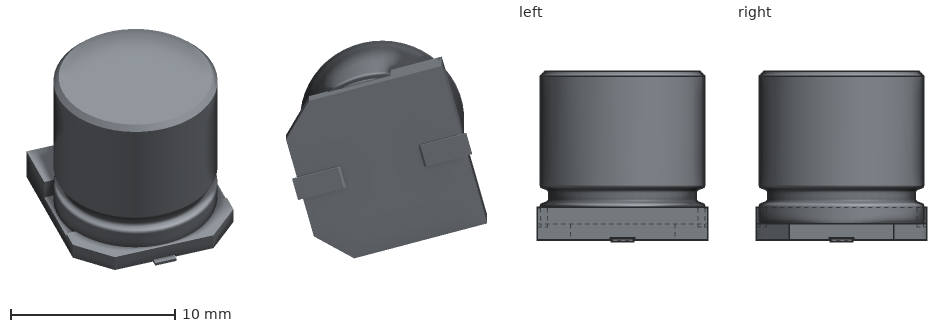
import cadquery as cq
import math

total_height = 10.41
base_bottom = 0.1

base_size = 10.4
base_low_top = 1.1
base_high_top = 2.1
corner_chamfer = 2.0
notch_half_width = 2.0
notch_floor = 0.9

can_radius = 5.0
can_chamfer = 0.32
neck_radius = 4.5
neck_bottom = 2.6
neck_top = 3.01
groove_fillet = 0.2
flank_slope = 18

lead_tip = 5.5
lead_inner_end = 2.48
lead_width = 1.36
lead_thickness = 0.2
lead_bevel_length = 0.13
recess_clearance = 0.05


def box_between(x_range, y_range, z_range):
    """Axis-aligned box given by its (low, high) limits on each axis."""
    sizes = [high - low for low, high in (x_range, y_range, z_range)]
    corner = (x_range[0], y_range[0], z_range[0])
    return cq.Workplane("XY").box(*sizes, centered=False).translate(corner)


def make_base():
    """Square base: high on -X, low on +X with two cut corners, notched across the middle."""
    half = base_size / 2
    across = (-half, half)
    base = box_between(across, across, (base_bottom, base_low_top))
    base = base.edges("|Z and >X").chamfer(corner_chamfer)
    high_side = box_between((-half, -notch_half_width), across, (base_bottom, base_high_top))
    notch = box_between((-notch_half_width, notch_half_width), across, (notch_floor, base_high_top))
    return base.union(high_side).cut(notch)


def make_can():
    """Revolved can with a chamfered top and a rounded groove around the lower end."""
    slope = math.radians(flank_slope)
    fillet_width = groove_fillet * (1 - math.sin(slope))
    fillet_height = groove_fillet * math.cos(slope)
    flank_outer = can_radius - fillet_width
    flank_inner = neck_radius + fillet_width
    flank_height = (flank_outer - flank_inner) * math.tan(slope)
    lower_flank_top = neck_bottom - fillet_height
    lower_flank_bottom = lower_flank_top - flank_height
    upper_flank_bottom = neck_top + fillet_height
    upper_flank_top = upper_flank_bottom + flank_height
    profile = (
        cq.Workplane("XZ")
        .moveTo(0, notch_floor)
        .lineTo(can_radius, notch_floor)
        .lineTo(can_radius, lower_flank_bottom - fillet_height)
        .radiusArc((flank_outer, lower_flank_bottom), -groove_fillet)
        .lineTo(flank_inner, lower_flank_top)
        .radiusArc((neck_radius, neck_bottom), groove_fillet)
        .lineTo(neck_radius, neck_top)
        .radiusArc((flank_inner, upper_flank_bottom), groove_fillet)
        .lineTo(flank_outer, upper_flank_top)
        .radiusArc((can_radius, upper_flank_top + fillet_height), -groove_fillet)
        .lineTo(can_radius, total_height - can_chamfer)
        .lineTo(can_radius - can_chamfer, total_height)
        .lineTo(0, total_height)
        .close()
    )
    return profile.revolve(360, (0, 0, 0), (0, 1, 0))


def make_lead():
    """Flat lead on the +X side, bevelled under its inner end."""
    side_profile = [
        (lead_inner_end + lead_bevel_length, 0),
        (lead_tip, 0),
        (lead_tip, lead_thickness),
        (lead_inner_end, lead_thickness),
        (lead_inner_end, base_bottom),
    ]
    return cq.Workplane("XZ").polyline(side_profile).close().extrude(lead_width / 2, both=True)


def make_recess():
    """Recess in the underside of the base, with clearance above and beside the +X lead."""
    half = lead_width / 2 + recess_clearance
    top = lead_thickness + recess_clearance
    return box_between((lead_inner_end, base_size / 2), (-half, half), (base_bottom, top))


result = make_base().union(make_can())
recess = make_recess()
lead = make_lead()
for lead_angle in (0, 180):
    result = result.cut(recess.rotate((0, 0, 0), (0, 0, 1), lead_angle))
    result = result.union(lead.rotate((0, 0, 0), (0, 0, 1), lead_angle))